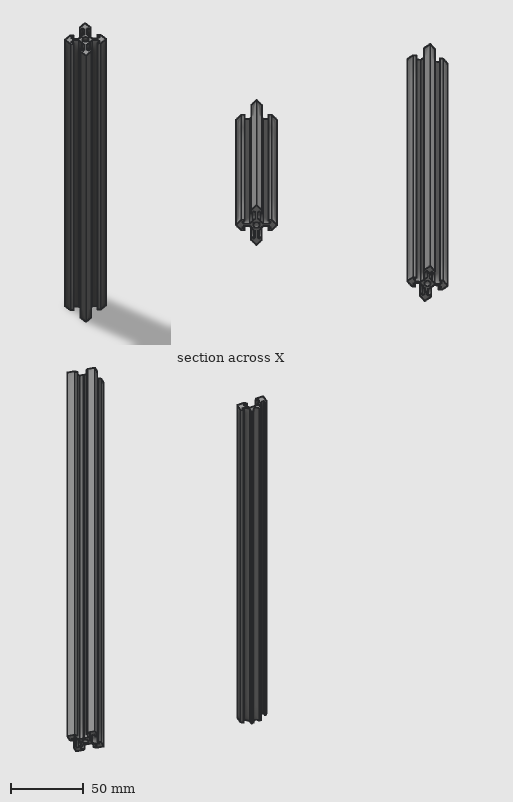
import cadquery as cq

LENGTH = 300.0
WIDTH = LENGTH / 15
HALF_WIDTH = WIDTH / 2

MOUTH_WIDTH = 9.3
THROAT_WIDTH = 6.3
CAVITY_WIDTH = 11.0
MOUTH_HALF_WIDTH = MOUTH_WIDTH / 2
THROAT_HALF_WIDTH = THROAT_WIDTH / 2
CAVITY_HALF_WIDTH = CAVITY_WIDTH / 2
LIP_THICKNESS = 1.8
CORE_HALF_WIDTH = 4.0
WEB_THICKNESS = 1.5
BORE_DIAMETER = 4.2
GROOVE_HALF_WIDTH = 0.45
GROOVE_DEPTH = 0.45

TAPER_END = HALF_WIDTH - (MOUTH_HALF_WIDTH - THROAT_HALF_WIDTH)
LIP_UNDERSIDE = HALF_WIDTH - LIP_THICKNESS

WEB_OFFSET = WEB_THICKNESS / 2 * 2**0.5
FLOOR_HALF_WIDTH = CORE_HALF_WIDTH - WEB_OFFSET
CAVITY_SHOULDER = CAVITY_HALF_WIDTH + WEB_OFFSET


def make_slot():
    """V-mouthed slot on the +Y face, running the full length."""
    right_side = [
        (GROOVE_HALF_WIDTH, CORE_HALF_WIDTH),
        (FLOOR_HALF_WIDTH, CORE_HALF_WIDTH),
        (CAVITY_HALF_WIDTH, CAVITY_SHOULDER),
        (CAVITY_HALF_WIDTH, LIP_UNDERSIDE),
        (THROAT_HALF_WIDTH, LIP_UNDERSIDE),
        (THROAT_HALF_WIDTH, TAPER_END),
        (MOUTH_HALF_WIDTH, HALF_WIDTH),
    ]
    left_side = [(-x, y) for x, y in reversed(right_side)]
    groove_bottom = [(0, CORE_HALF_WIDTH - GROOVE_DEPTH)]
    outline = groove_bottom + right_side + left_side
    return cq.Workplane("XY").polyline(outline).close().extrude(LENGTH)


result = cq.Workplane("XY").rect(WIDTH, WIDTH).extrude(LENGTH)
result = result.faces(">Z").workplane().hole(BORE_DIAMETER)

slot = make_slot()
for angle in (0, 90, 180, 270):
    result = result.cut(slot.rotate((0, 0, 0), (0, 0, 1), angle))